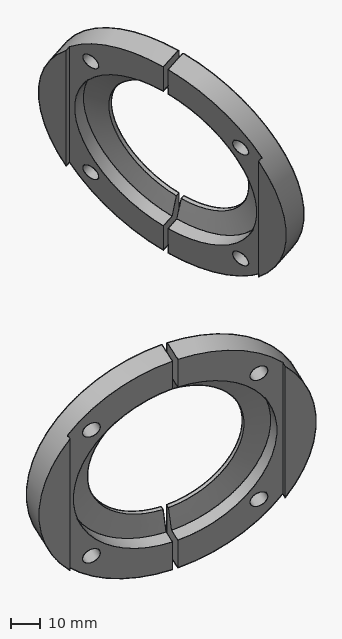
import cadquery as cq

outer_radius = 51.5
plate_thickness = 9.1
pad_height = 2.0
pad_inner_x = 40.0
back_round = 1.0
recess_radius = 37.8
recess_depth = 5.0
bore_radius = 29.0
land_length = 1.5
hole_diameter = 6.6
hole_offset = 31.1
split_gap = 2.0

total_thickness = plate_thickness + pad_height
pad_front = -total_thickness / 2
plate_front = pad_front + pad_height
back_face = total_thickness / 2
recess_floor = plate_front + recess_depth
land_front = back_face - land_length


def make_ring():
    """Revolve the full ring section, including the pad thickness."""
    return (
        cq.Workplane("XY")
        .moveTo(recess_radius, pad_front)
        .lineTo(outer_radius, pad_front)
        .lineTo(outer_radius, back_face - back_round)
        .radiusArc((outer_radius - back_round, back_face), -back_round)
        .lineTo(bore_radius, back_face)
        .lineTo(bore_radius, land_front)
        .lineTo(recess_radius, recess_floor)
        .close()
        .revolve(360, (0, 0, 0), (0, 1, 0))
    )


def make_pad_relief():
    """Slab removed from the front to leave the two side pads."""
    return cq.Workplane("XY").box(
        2 * pad_inner_x, pad_height, 2 * outer_radius
    ).translate((0, pad_front + pad_height / 2, 0))


def make_screw_holes():
    """Four through holes on a square pattern."""
    return (
        cq.Workplane("XZ", origin=(0, back_face, 0))
        .rect(2 * hole_offset, 2 * hole_offset, forConstruction=True)
        .vertices()
        .circle(hole_diameter / 2)
        .extrude(total_thickness)
    )


def make_half_ring(side):
    """Half of the ring: side is -1 for the -X half and +1 for the +X half."""
    half_width = outer_radius - split_gap / 2
    half_space = cq.Workplane("XY").box(
        half_width, total_thickness, 2 * outer_radius
    ).translate((side * (split_gap + half_width) / 2, 0, 0))
    return ring.intersect(half_space)


ring = make_ring().cut(make_pad_relief()).cut(make_screw_holes())
half_rings = [make_half_ring(side) for side in (-1, 1)]

result = cq.Compound.makeCompound([half.val() for half in half_rings])